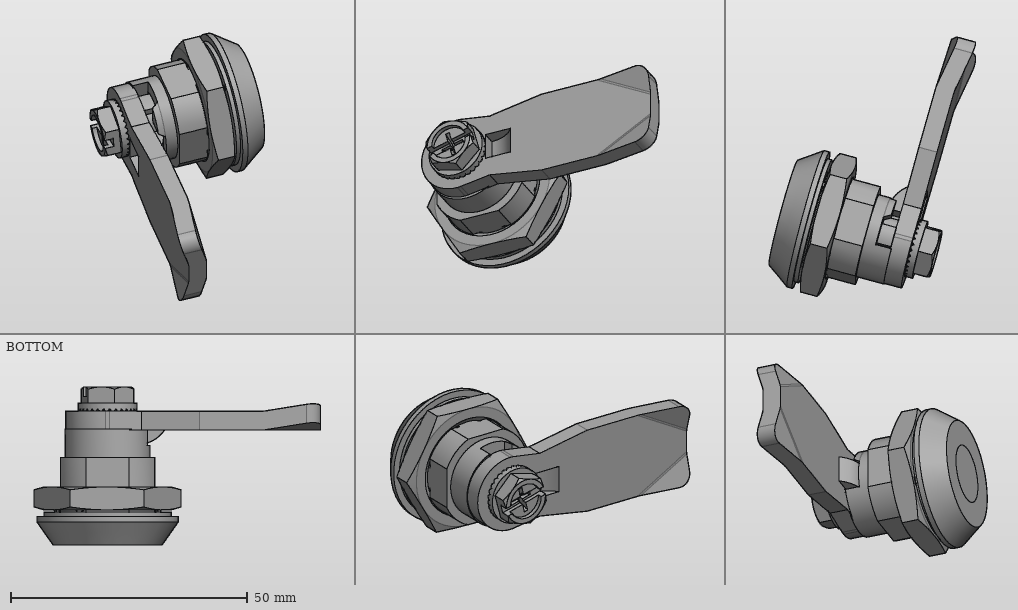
import cadquery as cq
import math


HEAD_CONE_DEPTH = 4.9
HEAD_BACK = 6.05
GASKET_BACK = 7.0
NUT_FRONT = 7.45
NUT_THICKNESS = 4.85
NUT_BACK = NUT_FRONT + NUT_THICKNESS
BARREL_END = 18.6
NOTCH_FLOOR = 21.1
CAM_BACK = 24.35
CAM_THICKNESS = 4.0
CAM_FRONT = CAM_BACK + CAM_THICKNESS
LUG_SINK = 0.25
LUG_END = CAM_BACK + LUG_SINK
WASHER_THICKNESS = 1.7
WASHER_END = CAM_FRONT + WASHER_THICKNESS
OVERALL_DEPTH = 33.5

HEAD_FACE_DIA = 23.05
HEAD_DIA = 30.0
BARREL_DIA = 22.0
BARREL_FLATS = 20.0
THREAD_ROOT_DIA = 20.6
COLLAR_DIA = 18.0
STOP_OFFSET = 3.1
DETENT_HEIGHT = 1.45
DETENT_RAMP_RUN = 1.0

GASKET_DIA = 27.0

NUT_FLATS = 27.0
NUT_TILT = 0.5
NUT_CORNER_CHAMFER = 0.6
NUT_MOUTH_DIA = 22.45
NUT_MOUTH_DEPTH = 0.55
NUT_TOOTH_COUNT = 4
NUT_TOOTH_ANGLE = 61.3
NUT_TOOTH_RADIUS = 11.95
NUT_TOOTH_LENGTH = 0.55
NUT_TOOTH_BASE = 1.7
NUT_TOOTH_TIP = 0.85

ROTOR_DIA = 12.4
ROTOR_CORE_DIA = 9.8
ROTOR_KEY_WIDTH = 4.3

CAM_REACH = 45.1
CAM_HALF_WIDTH = 9.45
CAM_CORNER_RADIUS = 3.05
HUB_RADIUS = 8.45
HUB_CENTRE_X = -0.4
SHOULDER_X = 0.35
SHOULDER_HALF_WIDTH = 8.4
NECK_X = 7.15
NECK_HALF_WIDTH = 7.35
BLADE_START_X = 19.4
TAB_X = 6.2
TAB_SIZE = 5.9
TAB_HEIGHT = 3.1
FLAP_START_X = 32.35
FLAP_ANGLE = 29.0
FLAP_SLOPE = 0.33
FLAP_BEND_WIDTH = 0.4

WASHER_DIA = 12.5
SERRATION_COUNT = 30
SERRATION_WIDTH = 0.8
SERRATION_DEPTH = 0.455
SERRATION_INNER_RADIUS = 4.25
SERRATION_PHASE = 10.4

BOLT_FLATS = 10.0
BOLT_TILT = 15.0
BOLT_CHAMFER = 0.5
SHANK_DIA = 6.0
SHANK_END = 18.2
DISH_DIA = 7.9
DISH_DEPTH = 1.05
SLOT_WIDTH = 1.95
SLOT_DEPTH = 2.0
CROSS_WIDTH = 0.85
CROSS_TOP_REACH = 2.9
CROSS_FLOOR_REACH = 1.8
CROSS_DEPTH = 2.6


def at_depth(depth):
    """Sketch plane across the axis; extruding from it goes toward greater depth."""
    return cq.Workplane("XZ", origin=(0, -depth, 0))


def disc(diameter, start, end):
    return at_depth(start).circle(diameter / 2).extrude(end - start)


def hexagon(flats, start, end):
    corner_dia = flats / math.cos(math.pi / 6)
    return at_depth(start).polygon(6, corner_dia).extrude(end - start)


def turned(shape, angle):
    return shape.rotate((0, 0, 0), (0, -1, 0), angle)


def ring(inner_dia, outer_dia, start, end):
    return disc(outer_dia, start, end).cut(disc(inner_dia, start, end))


def bevel_cone(flats, corner_height, start, end):
    """Cone that is as wide as the flats at depth `end` and spreads to pass the corners
    `corner_height` before it."""
    flat_radius = flats / 2
    corner_radius = flat_radius / math.cos(math.pi / 6)
    spread = (corner_radius - flat_radius) / corner_height
    wide_radius = flat_radius + spread * (end - start)
    return (
        cq.Workplane("XY")
        .polyline([(0, -start), (wide_radius, -start), (flat_radius, -end), (0, -end)])
        .close()
        .revolve(360, (0, 0, 0), (0, 1, 0))
    )


def stop_lug():
    """Full-height part of the collar end; the open quarter lets the cam tab turn between its ends."""
    collar_end = ring(ROTOR_CORE_DIA, COLLAR_DIA, NOTCH_FLOOR, LUG_END)
    notch = (
        at_depth(NOTCH_FLOOR)
        .rect(COLLAR_DIA, COLLAR_DIA, centered=False)
        .extrude(LUG_END - NOTCH_FLOOR)
        .translate((-STOP_OFFSET, 0, -STOP_OFFSET))
    )
    return collar_end.cut(notch)


def detent():
    """Low rise on the notch floor, with a sloping face toward each stop."""
    ramp_end = STOP_OFFSET + DETENT_RAMP_RUN
    ramped_bar = (
        cq.Workplane("XY")
        .polyline([
            (STOP_OFFSET, -NOTCH_FLOOR),
            (ramp_end, -NOTCH_FLOOR - DETENT_HEIGHT),
            (COLLAR_DIA, -NOTCH_FLOOR - DETENT_HEIGHT),
            (COLLAR_DIA, -NOTCH_FLOOR),
        ])
        .close()
        .extrude(COLLAR_DIA, both=True)
    )
    arc = ring(ROTOR_DIA, COLLAR_DIA, NOTCH_FLOOR, NOTCH_FLOOR + DETENT_HEIGHT)
    return arc.intersect(ramped_bar).intersect(turned(ramped_bar, 90))


def make_housing():
    head = (
        cq.Workplane("XY")
        .polyline([
            (0, 0),
            (HEAD_FACE_DIA / 2, 0),
            (HEAD_DIA / 2, -HEAD_CONE_DEPTH),
            (HEAD_DIA / 2, -HEAD_BACK),
            (0, -HEAD_BACK),
        ])
        .close()
        .revolve(360, (0, 0, 0), (0, 1, 0))
    )
    barrel = (
        disc(BARREL_DIA, HEAD_BACK, NUT_FRONT)
        .union(disc(THREAD_ROOT_DIA, NUT_FRONT, NUT_BACK))
        .union(disc(BARREL_DIA, NUT_BACK, BARREL_END))
    )
    flats = at_depth(HEAD_BACK).rect(BARREL_FLATS, BARREL_FLATS).extrude(BARREL_END - HEAD_BACK)
    collar = disc(COLLAR_DIA, BARREL_END, NOTCH_FLOOR)
    rotor_bore = disc(ROTOR_DIA, 0, NOTCH_FLOOR)
    body = head.union(barrel.intersect(flats)).union(collar).cut(rotor_bore)
    return body.union(stop_lug()).union(detent())


def make_gasket():
    opening = (
        disc(BARREL_DIA, HEAD_BACK, GASKET_BACK)
        .intersect(at_depth(HEAD_BACK).rect(BARREL_FLATS, BARREL_FLATS).extrude(GASKET_BACK - HEAD_BACK))
    )
    return disc(GASKET_DIA, HEAD_BACK, GASKET_BACK).cut(opening)


def nut_tooth():
    """Trapezoidal tooth that stands on the nut and reaches the gasket."""
    return (
        cq.Workplane("YZ", origin=(NUT_TOOTH_RADIUS, 0, 0))
        .polyline([
            (-NUT_FRONT, -NUT_TOOTH_BASE / 2),
            (-GASKET_BACK, -NUT_TOOTH_TIP / 2),
            (-GASKET_BACK, NUT_TOOTH_TIP / 2),
            (-NUT_FRONT, NUT_TOOTH_BASE / 2),
        ])
        .close()
        .extrude(NUT_TOOTH_LENGTH)
    )


def nut_mouth():
    """Conical countersink at the back end of the thread."""
    return (
        cq.Workplane("XY")
        .polyline([
            (0, -NUT_BACK),
            (NUT_MOUTH_DIA / 2, -NUT_BACK),
            (THREAD_ROOT_DIA / 2, NUT_MOUTH_DEPTH - NUT_BACK),
            (0, NUT_MOUTH_DEPTH - NUT_BACK),
        ])
        .close()
        .revolve(360, (0, 0, 0), (0, 1, 0))
    )


def make_nut():
    nut = turned(hexagon(NUT_FLATS, NUT_FRONT, NUT_BACK), -NUT_TILT)
    back_bevel = bevel_cone(NUT_FLATS, NUT_CORNER_CHAMFER, NUT_FRONT, NUT_BACK)
    nut_middle = (0, -(NUT_FRONT + NUT_BACK) / 2, 0)
    front_bevel = back_bevel.mirror("XZ", nut_middle)
    nut = nut.intersect(back_bevel).intersect(front_bevel)
    nut = nut.cut(disc(THREAD_ROOT_DIA, NUT_FRONT, NUT_BACK))
    nut = nut.cut(nut_mouth()).cut(nut_mouth().mirror("XZ", nut_middle))
    for i in range(NUT_TOOTH_COUNT):
        nut = nut.union(turned(nut_tooth(), NUT_TOOTH_ANGLE + i * 360 / NUT_TOOTH_COUNT))
    return nut


def make_rotor():
    body = disc(ROTOR_DIA, 0, NOTCH_FLOOR)
    core = disc(ROTOR_CORE_DIA, NOTCH_FLOOR, CAM_BACK)
    key_length = ROTOR_DIA / 2
    key = (
        at_depth(NOTCH_FLOOR)
        .center(0, key_length / 2)
        .rect(ROTOR_KEY_WIDTH, key_length)
        .extrude(CAM_BACK - NOTCH_FLOOR)
        .intersect(disc(ROTOR_DIA, NOTCH_FLOOR, CAM_BACK))
    )
    return body.union(core).union(key).cut(disc(SHANK_DIA, SHANK_END, CAM_BACK))


def cam_outline(start, end):
    return (
        at_depth(start)
        .moveTo(HUB_CENTRE_X, HUB_RADIUS)
        .lineTo(SHOULDER_X, SHOULDER_HALF_WIDTH)
        .lineTo(NECK_X, NECK_HALF_WIDTH)
        .lineTo(BLADE_START_X, CAM_HALF_WIDTH)
        .lineTo(CAM_REACH, CAM_HALF_WIDTH)
        .lineTo(CAM_REACH, -CAM_HALF_WIDTH)
        .lineTo(BLADE_START_X, -CAM_HALF_WIDTH)
        .lineTo(NECK_X, -NECK_HALF_WIDTH)
        .lineTo(SHOULDER_X, -SHOULDER_HALF_WIDTH)
        .lineTo(HUB_CENTRE_X, -HUB_RADIUS)
        .threePointArc((HUB_CENTRE_X - HUB_RADIUS, 0), (HUB_CENTRE_X, HUB_RADIUS))
        .close()
        .extrude(end - start)
        .edges("|Y and >X")
        .fillet(CAM_CORNER_RADIUS)
    )


def beyond_bend(profile):
    """Prism along the upper bend line. `profile` holds points of distance past the bend and depth."""
    half_length = CAM_REACH / 2
    bend_angle = math.radians(FLAP_ANGLE)
    plane = cq.Plane(
        origin=(FLAP_START_X, 0, CAM_HALF_WIDTH),
        xDir=(math.sin(bend_angle), 0, math.cos(bend_angle)),
        normal=(math.cos(bend_angle), 0, -math.sin(bend_angle)),
    )
    return cq.Workplane(plane).polyline(profile).close().extrude(half_length, both=True)


def bend_corners(plate):
    """Bends the two outer corners of the blade away from the housing."""
    span = CAM_REACH - FLAP_START_X
    strip_drop = FLAP_BEND_WIDTH * FLAP_SLOPE / 2
    end_drop = strip_drop + (span - FLAP_BEND_WIDTH) * FLAP_SLOPE
    bent = beyond_bend([
        (0, CAM_BACK),
        (FLAP_BEND_WIDTH, CAM_BACK + strip_drop),
        (span, CAM_BACK + end_drop),
        (span, CAM_FRONT + end_drop),
        (FLAP_BEND_WIDTH, CAM_FRONT + strip_drop),
        (0, CAM_FRONT),
    ]).intersect(cam_outline(CAM_BACK, CAM_FRONT + end_drop))
    flat = beyond_bend([(0, CAM_BACK), (span, CAM_BACK), (span, CAM_FRONT), (0, CAM_FRONT)])
    for removed, added in [(flat, bent), (flat.mirror("XY"), bent.mirror("XY"))]:
        plate = plate.cut(removed).union(added)
    return plate


def pressed_tab(base_depth):
    """Solid under the arc of the tab: steep toward the axis, curving down to `base_depth`."""
    radius = (TAB_SIZE**2 + TAB_HEIGHT**2) / (2 * TAB_HEIGHT)
    middle_run = TAB_SIZE / 2
    middle_height = TAB_HEIGHT - radius + math.sqrt(radius**2 - middle_run**2)
    return (
        cq.Workplane("XY", origin=(TAB_X, -base_depth, 0))
        .lineTo(0, TAB_HEIGHT)
        .threePointArc((middle_run, middle_height), (TAB_SIZE, 0))
        .close()
        .extrude(TAB_SIZE / 2, both=True)
    )


def make_cam():
    cam = bend_corners(cam_outline(CAM_BACK, CAM_FRONT))
    bolt_hole = disc(SHANK_DIA, CAM_BACK, CAM_FRONT)
    return cam.union(pressed_tab(CAM_BACK)).cut(pressed_tab(CAM_FRONT)).cut(stop_lug()).cut(bolt_hole)


def make_washer():
    washer = ring(SHANK_DIA, WASHER_DIA, CAM_FRONT, WASHER_END)
    groove = (
        cq.Workplane("YZ", origin=(SERRATION_INNER_RADIUS, 0, 0))
        .polyline([
            (-CAM_FRONT, -SERRATION_WIDTH / 2),
            (-CAM_FRONT - SERRATION_DEPTH, 0),
            (-CAM_FRONT, SERRATION_WIDTH / 2),
        ])
        .close()
        .extrude(WASHER_DIA / 2)
    )
    for i in range(SERRATION_COUNT):
        washer = washer.cut(turned(groove, SERRATION_PHASE + i * 360 / SERRATION_COUNT))
    return washer


def cross_arm():
    """One bar of the cross recess, with sloping ends."""
    top = DISH_DEPTH - OVERALL_DEPTH
    floor = top + CROSS_DEPTH
    return (
        cq.Workplane("XY")
        .polyline([
            (-CROSS_TOP_REACH, top),
            (CROSS_TOP_REACH, top),
            (CROSS_FLOOR_REACH, floor),
            (-CROSS_FLOOR_REACH, floor),
        ])
        .close()
        .extrude(CROSS_WIDTH / 2, both=True)
    )


def make_bolt():
    head = hexagon(BOLT_FLATS, WASHER_END, OVERALL_DEPTH)
    head = head.intersect(bevel_cone(BOLT_FLATS, BOLT_CHAMFER, WASHER_END, OVERALL_DEPTH))
    head = turned(head, -BOLT_TILT)
    slot_floor = OVERALL_DEPTH - SLOT_DEPTH
    slot = at_depth(slot_floor).rect(2 * BOLT_FLATS, SLOT_WIDTH).extrude(SLOT_DEPTH)
    dish = disc(DISH_DIA, OVERALL_DEPTH - DISH_DEPTH, OVERALL_DEPTH)
    shank = disc(SHANK_DIA, SHANK_END, WASHER_END)
    return (
        head.union(shank)
        .cut(dish)
        .cut(turned(slot, BOLT_TILT))
        .cut(turned(cross_arm(), BOLT_TILT))
        .cut(turned(cross_arm(), BOLT_TILT + 90))
    )


housing = make_housing()
gasket = make_gasket()
nut = make_nut()
rotor = make_rotor()
cam = make_cam()
washer = make_washer()
bolt = make_bolt()

result = cq.Compound.makeCompound([
    housing.val(),
    gasket.val(),
    nut.val(),
    rotor.val(),
    cam.val(),
    washer.val(),
    bolt.val(),
])